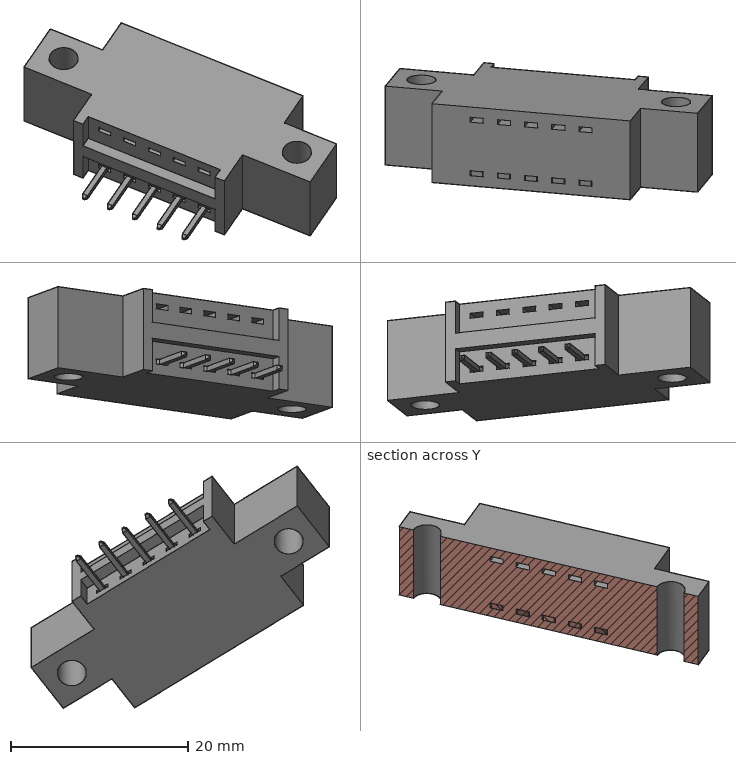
import cadquery as cq


ear_span = 36.45
rear_width = 23.15
front_width = 19.2
height = 9.4
ear_rear_depth = 4.52
ear_length = 6.38
housing_depth = 15.27

hole_diameter = 3.25
hole_spacing = 29.7

recess_width = 16.8
recess_depth = 1.28
rib_thickness = 1.85

contact_count = 5
pitch = 3.17
row_spacing = 6.38
slot_width = 1.53
slot_height = 0.6

overall_depth = 19.05
tail_width = 0.62
body_width = 1.3
contact_thickness = slot_height
shoulder_inset = 0.07
shoulder_length = 0.73
tip_length = 0.4
tip_inset = 0.2

front_y = -housing_depth
recess_floor_y = front_y + recess_depth
ear_rear_y = -ear_rear_depth
ear_front_y = ear_rear_y - ear_length
mid_z = height / 2
lower_row_z = mid_z - row_spacing / 2
upper_row_z = mid_z + row_spacing / 2
contact_places = [(i - (contact_count - 1) / 2) * pitch for i in range(contact_count)]


def box_between(width, y_start, y_end, z_bottom, z_top):
    """Box centred on X = 0, spanning the given Y and Z ranges."""
    return cq.Workplane("XY").box(
        width, y_end - y_start, z_top - z_bottom, centered=(True, False, False)
    ).translate((0, y_start, z_bottom))


def make_slots(row_z):
    """One row of slots through the housing from front to rear."""
    return (
        cq.Workplane("XZ", origin=(0, 0, row_z))
        .pushPoints([(x, 0) for x in contact_places])
        .rect(slot_width, slot_height)
        .extrude(housing_depth)
    )


def make_housing():
    """Stepped block with mounting holes, front recesses and two rows of slots."""
    housing = box_between(rear_width, ear_front_y, 0, 0, height)
    housing = housing.union(box_between(ear_span, ear_front_y, ear_rear_y, 0, height))
    housing = housing.union(box_between(front_width, front_y, ear_front_y, 0, height))

    holes = (
        cq.Workplane("XY", origin=(0, (ear_rear_y + ear_front_y) / 2, 0))
        .pushPoints([(-hole_spacing / 2, 0), (hole_spacing / 2, 0)])
        .circle(hole_diameter / 2)
        .extrude(height)
    )
    housing = housing.cut(holes)

    rib_bottom = mid_z - rib_thickness / 2
    rib_top = mid_z + rib_thickness / 2
    for z_bottom, z_top in [(0, rib_bottom), (rib_top, height)]:
        housing = housing.cut(box_between(recess_width, front_y, recess_floor_y, z_bottom, z_top))

    for row_z in (lower_row_z, upper_row_z):
        housing = housing.cut(make_slots(row_z))
    return housing


def make_contact(x):
    """Flat contact: wide body inside the slot, sloped shoulders, narrow tail, tapered tip."""
    tip_base_y = -overall_depth + tip_length
    shoulder_front_y = recess_floor_y + shoulder_inset
    shoulder_rear_y = shoulder_front_y + shoulder_length
    half_tail = tail_width / 2
    half_body = body_width / 2
    right_side = [
        (half_tail, tip_base_y),
        (half_tail, shoulder_front_y),
        (half_body, shoulder_rear_y),
        (half_body, 0),
    ]
    left_side = [(-px, py) for px, py in reversed(right_side)]
    blade = (
        cq.Workplane("XY", origin=(0, 0, -contact_thickness / 2))
        .polyline(right_side + left_side)
        .close()
        .extrude(contact_thickness)
    )
    tip = (
        cq.Workplane("XZ", origin=(0, tip_base_y, 0))
        .rect(tail_width, contact_thickness)
        .workplane(offset=tip_length)
        .rect(tail_width - 2 * tip_inset, contact_thickness - 2 * tip_inset)
        .loft(ruled=True)
    )
    return blade.union(tip).translate((x, 0, lower_row_z))


housing = make_housing()
contacts = [make_contact(x) for x in contact_places]
result = cq.Compound.makeCompound([housing.val(), *[contact.val() for contact in contacts]])